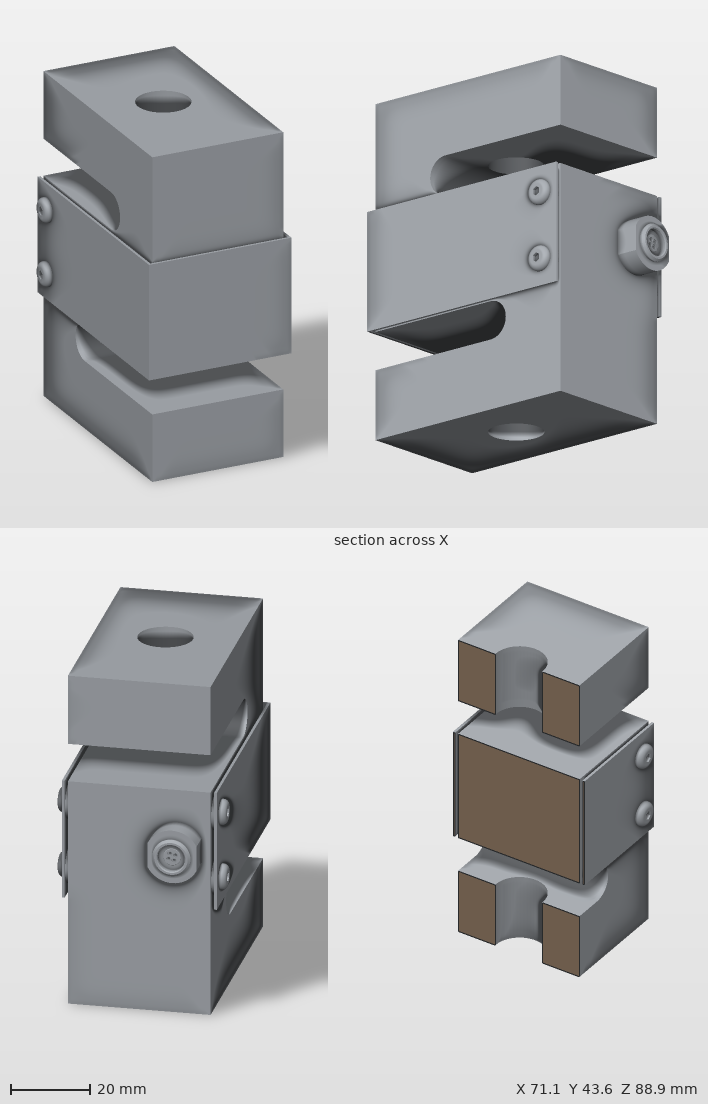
import cadquery as cq

BODY_LENGTH = 62.2
BODY_WIDTH = 36.8
BODY_HEIGHT = 88.9
ARM_THICKNESS = 18.5
SLOT_HEIGHT = 10.1
SLOT_DEPTH = 43.8
MOUNTING_HOLE_DIAMETER = 14.2

COVER_WIDTH = 40
COVER_THICKNESS = 0.7
COVER_OVERHANG = 1.4

SCREW_INSET = 5.25
SCREW_SPACING = 17.5
SPACER_DIAMETER = 9.5
HEAD_DIAMETER = 6.7
HEAD_HEIGHT = 1.8
HEAD_RIM_HEIGHT = 0.4
HEAD_TOP_DIAMETER = 3.8
HEAD_DOME_BULGE = 0.31
SOCKET_ACROSS_CORNERS = 2.5
SOCKET_DEPTH = 1.1

CONNECTOR_Y = -9.8
FLANGE_DIAMETER = 14.2
FLANGE_ACROSS_FLATS = 12.6
FLANGE_LENGTH = 6.05
NECK_DIAMETER = 9.5
RIM_START = 6.7
RIM_DIAMETER = 9.9
CONNECTOR_LENGTH = 7.5
RIM_CHAMFER = 0.6
BORE_DIAMETER = 7.0
BORE_MOUTH_DIAMETER = 7.6
BORE_DEPTH = 1.6
INSERT_DIAMETER = 4.5
INSERT_HEIGHT = 0.3
INSERT_CHAMFER = 0.1
CONTACT_MOUTH_DIAMETER = 1.25
CONTACT_MOUTH_DEPTH = 0.3
CONTACT_DIAMETER = 0.7
CONTACT_DEPTH = 0.9
CONTACT_CIRCLE_DIAMETER = 2.05
CONTACT_COUNT = 4
CONTACT_ANGLE = 31

END_X = BODY_LENGTH / 2
COVER_SPACE = (COVER_WIDTH - BODY_WIDTH) / 2
BLOCK_HEIGHT = BODY_HEIGHT - 2 * (ARM_THICKNESS + SLOT_HEIGHT)


def make_body():
    """Block with two opposed round-ended slots and a mounting hole through each arm."""
    body = cq.Workplane("XY").box(BODY_LENGTH, BODY_WIDTH, BODY_HEIGHT)
    slot_radius = SLOT_HEIGHT / 2
    for side in (1, -1):
        slot_z = side * (BLOCK_HEIGHT + SLOT_HEIGHT) / 2
        open_x = -side * END_X
        round_x = open_x + side * (SLOT_DEPTH - slot_radius)
        slot = (
            cq.Workplane("XZ")
            .moveTo(open_x, slot_z - slot_radius)
            .lineTo(round_x, slot_z - slot_radius)
            .threePointArc((round_x + side * slot_radius, slot_z), (round_x, slot_z + slot_radius))
            .lineTo(open_x, slot_z + slot_radius)
            .close()
            .extrude(BODY_WIDTH / 2, both=True)
        )
        hole = (
            cq.Workplane("XY", origin=(0, 0, slot_z))
            .circle(MOUNTING_HOLE_DIAMETER / 2)
            .extrude(side * BODY_HEIGHT / 2)
        )
        body = body.cut(slot).cut(hole)
    return body


def make_cover():
    """U-shaped sheet with a clear gap to the body."""
    inner_x = END_X + COVER_OVERHANG - COVER_THICKNESS
    inner_y = COVER_WIDTH / 2 - COVER_THICKNESS
    return (
        cq.Workplane("XY", origin=(0, 0, -BLOCK_HEIGHT / 2))
        .moveTo(-END_X, COVER_WIDTH / 2)
        .lineTo(END_X + COVER_OVERHANG, COVER_WIDTH / 2)
        .lineTo(END_X + COVER_OVERHANG, -COVER_WIDTH / 2)
        .lineTo(-END_X, -COVER_WIDTH / 2)
        .lineTo(-END_X, -inner_y)
        .lineTo(inner_x, -inner_y)
        .lineTo(inner_x, inner_y)
        .lineTo(-END_X, inner_y)
        .close()
        .extrude(BLOCK_HEIGHT)
    )


def make_screw():
    """Spacer (set through the cover) and button head along +Z, with the cover's outer face at Z = 0."""
    rim_radius = HEAD_DIAMETER / 2
    top_radius = HEAD_TOP_DIAMETER / 2
    dome_middle = (
        (rim_radius + top_radius) / 2 + HEAD_DOME_BULGE,
        (HEAD_RIM_HEIGHT + HEAD_HEIGHT) / 2 + HEAD_DOME_BULGE,
    )
    head = (
        cq.Workplane("XZ")
        .lineTo(rim_radius, 0)
        .lineTo(rim_radius, HEAD_RIM_HEIGHT)
        .threePointArc(dome_middle, (top_radius, HEAD_HEIGHT))
        .lineTo(0, HEAD_HEIGHT)
        .close()
        .revolve(360, (0, 0), (0, 1))
    )
    socket = (
        cq.Workplane("XY", origin=(0, 0, HEAD_HEIGHT))
        .transformed(rotate=(0, 0, 90))
        .polygon(6, SOCKET_ACROSS_CORNERS)
        .extrude(-SOCKET_DEPTH)
    )
    spacer = (
        cq.Workplane("XY", origin=(0, 0, -COVER_SPACE))
        .circle(SPACER_DIAMETER / 2)
        .extrude(COVER_SPACE)
    )
    return head.cut(socket).union(spacer)


def place_screws(part):
    """Add two screws on each side of the cover."""
    screw = make_screw()
    for side in (1, -1):
        facing = screw.rotate((0, 0, 0), (1, 0, 0), -side * 90)
        for screw_z in (-SCREW_SPACING / 2, SCREW_SPACING / 2):
            position = (SCREW_INSET - END_X, side * COVER_WIDTH / 2, screw_z)
            part = part.union(facing.translate(position))
    return part


def make_connector():
    """Connector along +Z from its mounting face, with flats facing +X and -X."""
    flats = cq.Workplane("XY").rect(FLANGE_ACROSS_FLATS, FLANGE_DIAMETER).extrude(FLANGE_LENGTH)
    flange = cq.Workplane("XY").circle(FLANGE_DIAMETER / 2).extrude(FLANGE_LENGTH).intersect(flats)
    neck = cq.Workplane("XY").circle(NECK_DIAMETER / 2).extrude(RIM_START)
    rim = (
        cq.Workplane("XY", origin=(0, 0, RIM_START))
        .circle(RIM_DIAMETER / 2)
        .extrude(CONNECTOR_LENGTH - RIM_START)
        .faces(">Z")
        .chamfer(RIM_CHAMFER)
    )
    bore_floor = CONNECTOR_LENGTH - BORE_DEPTH
    mouth_depth = (BORE_MOUTH_DIAMETER - BORE_DIAMETER) / 2
    bore = (
        cq.Workplane("XZ")
        .moveTo(0, bore_floor)
        .lineTo(BORE_DIAMETER / 2, bore_floor)
        .lineTo(BORE_DIAMETER / 2, CONNECTOR_LENGTH - mouth_depth)
        .lineTo(BORE_MOUTH_DIAMETER / 2, CONNECTOR_LENGTH)
        .lineTo(0, CONNECTOR_LENGTH)
        .close()
        .revolve(360, (0, 0), (0, 1))
    )
    insert = (
        cq.Workplane("XY", origin=(0, 0, bore_floor))
        .circle(INSERT_DIAMETER / 2)
        .extrude(INSERT_HEIGHT)
        .faces(">Z")
        .chamfer(INSERT_CHAMFER)
    )
    contacts = (
        cq.Workplane("XY", origin=(0, 0, bore_floor + INSERT_HEIGHT))
        .polarArray(CONTACT_CIRCLE_DIAMETER / 2, CONTACT_ANGLE, 360, CONTACT_COUNT)
    )
    contact_mouths = contacts.circle(CONTACT_MOUTH_DIAMETER / 2).extrude(-CONTACT_MOUTH_DEPTH)
    contact_holes = contacts.circle(CONTACT_DIAMETER / 2).extrude(-CONTACT_DEPTH)
    shell = flange.union(neck).union(rim).cut(bore).union(insert)
    return shell.cut(contact_mouths).cut(contact_holes)


connector = (
    make_connector()
    .rotate((0, 0, 0), (0, 1, 0), -90)
    .rotate((0, 0, 0), (1, 0, 0), 90)
    .translate((-END_X, CONNECTOR_Y, 0))
)
result = place_screws(make_body().union(make_cover())).union(connector)